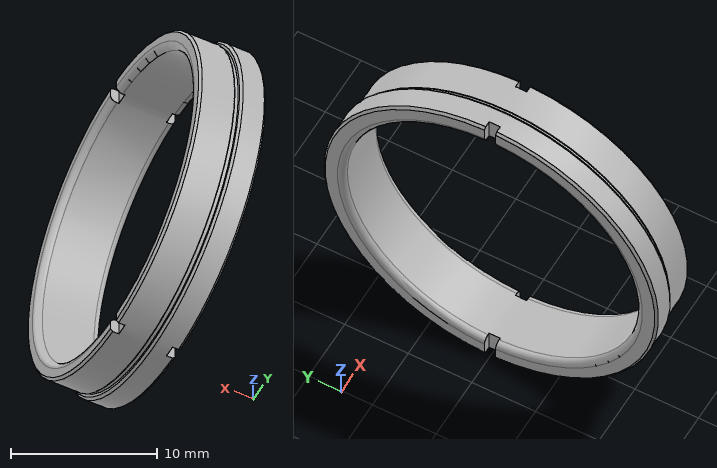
import cadquery as cq

width = 5.0
outer_radius = 13.15
bore_radius = 11.5
flange_width = 2.0
body_radius = 12.83
groove_width = 0.3
groove_depth = 0.08
edge_chamfer = 0.18
bore_round = 0.5
slot_width = 0.87
slot_depth = 0.65
slot_bar_length = 2.2 * outer_radius

groove_radius = body_radius - groove_depth
groove_end = flange_width + groove_width


def ring():
    """Revolve the half section (axial position, radius) about the X axis."""
    section = (
        cq.Workplane("XY")
        .moveTo(0, bore_radius + bore_round)
        .lineTo(0, outer_radius - edge_chamfer)
        .lineTo(edge_chamfer, outer_radius)
        .lineTo(flange_width - edge_chamfer, outer_radius)
        .lineTo(flange_width, outer_radius - edge_chamfer)
        .lineTo(flange_width, groove_radius)
        .lineTo(groove_end, groove_radius)
        .lineTo(groove_end, body_radius)
        .lineTo(width - edge_chamfer, body_radius)
        .lineTo(width, body_radius - edge_chamfer)
        .lineTo(width, bore_radius + bore_round)
        .radiusArc((width - bore_round, bore_radius), bore_round)
        .lineTo(bore_round, bore_radius)
        .radiusArc((0, bore_radius + bore_round), bore_round)
        .close()
    )
    return section.revolve(360, (0, 0, 0), (1, 0, 0))


def end_slot(x_center):
    """Bar across the full diameter that notches an end face at top and bottom."""
    bar = cq.Workplane("XY").box(2 * slot_depth, slot_width, slot_bar_length)
    return bar.translate((x_center, 0, 0))


result = ring()
for end_face in (0, width):
    result = result.cut(end_slot(end_face))